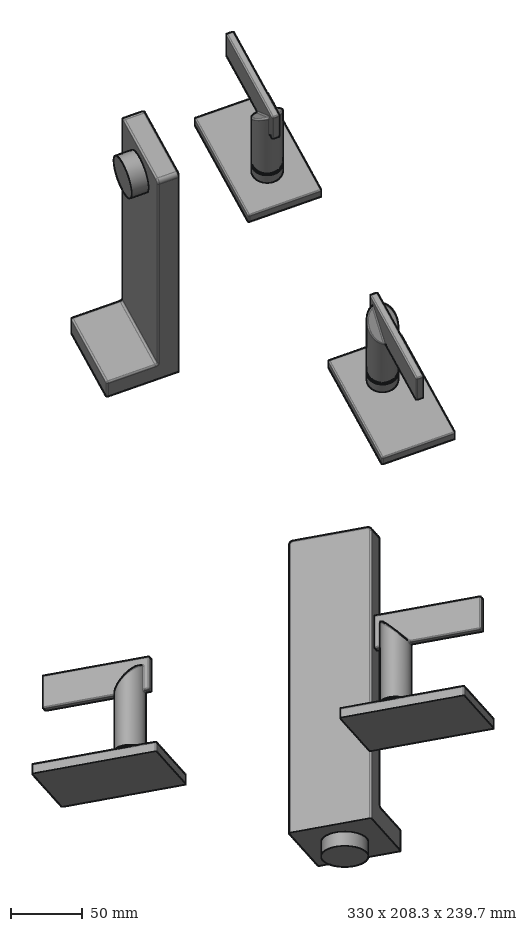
import cadquery as cq

TOLERANCE = 0.03

handle_fillet = 1.0
plate_inner_x = 69.0
plate_outer_x = 162.7
plate_depth = 56.0
plate_height = 8.0
lever_inner_x = 84.5
lever_outer_x = 165.0
lever_thickness = 6.0
lever_bottom = 63.5
lever_top = 89.0
post_x = 100.0
post_radius = 11.2
post_rim_low = lever_bottom
post_rim_high = 84.5
groove_z = 17.5
groove_width = 1.5
groove_depth = 0.5
rim_fillet = 1.0
joint_fillet = 1.0

spout_width = 62.5
spout_depth = 55.8
spout_height = 228.5
spout_thickness = 16.8
spout_back_y = -124.5
column_front_y = spout_back_y - spout_thickness
foot_front_y = spout_back_y - spout_depth
top_corner_fillet = 3.3
inner_corner_fillet = 1.5
front_fillet = 1.3
back_fillet = 1.3
knob_diameter = 31.7
knob_length = 13.0
knob_z = 203.0
shank_diameter = 33.0
shank_length = 11.2


def make_plate():
    return (
        cq.Workplane("XY")
        .box(plate_outer_x - plate_inner_x, plate_depth, plate_height, centered=(False, True, False))
        .translate((plate_inner_x, 0, 0))
        .edges("|Z or >Z")
        .fillet(handle_fillet)
    )


def make_post():
    """Round post with a rounded, sloped top and a shallow groove near its foot."""
    inner_x = post_x - post_radius
    outer_x = post_x + post_radius
    sloped_block = (
        cq.Workplane("XZ")
        .polyline([
            (inner_x, plate_height),
            (outer_x, plate_height),
            (outer_x, post_rim_low),
            (inner_x, post_rim_high),
        ])
        .close()
        .extrude(post_radius, both=True)
    )
    post = (
        cq.Workplane("XY", origin=(post_x, 0, plate_height))
        .circle(post_radius)
        .extrude(post_rim_high - plate_height)
        .intersect(sloped_block)
    )
    groove = (
        cq.Workplane("XY", origin=(post_x, 0, groove_z - groove_width / 2))
        .circle(post_radius)
        .circle(post_radius - groove_depth)
        .extrude(groove_width)
    )
    return post.edges("%ELLIPSE").fillet(rim_fillet).cut(groove)


def make_lever():
    lever_length = lever_outer_x - lever_inner_x
    return (
        cq.Workplane("XY")
        .box(lever_length, lever_thickness, lever_top - lever_bottom, centered=(False, True, False))
        .translate((lever_inner_x, 0, lever_bottom))
        .edges()
        .fillet(handle_fillet)
    )


def is_joint_edge(edge):
    """True for the straight edges where the post meets the two flat sides of the lever."""
    center = edge.Center()
    return (
        edge.geomType() == "LINE"
        and abs(abs(center.y) - lever_thickness / 2) < TOLERANCE
        and abs(center.x - post_x) < post_radius
        and lever_bottom + handle_fillet < center.z < post_rim_high
    )


def make_handle(side):
    """One handle as a single solid: side is +1 for the right handle and -1 for the left one."""
    handle = make_plate().union(make_post()).union(make_lever())
    handle = handle.edges().filter(is_joint_edge).fillet(joint_fillet)
    if side < 0:
        handle = handle.mirror("YZ")
    return handle.solids()


def is_front_edge(edge):
    """True for the front edges of the column and the foot, all but the hollow corner and the bottom."""
    center = edge.Center()
    bounds_hollow_corner = (
        abs(center.x) < TOLERANCE
        and abs(center.y - column_front_y) < inner_corner_fillet + TOLERANCE
        and abs(center.z - spout_thickness) < inner_corner_fillet + TOLERANCE
    )
    is_front = center.y < column_front_y + TOLERANCE and center.z > TOLERANCE
    return is_front and not bounds_hollow_corner


def make_spout_body():
    """L-shaped column and foot with rounded edges."""
    body = (
        cq.Workplane("YZ")
        .polyline([
            (spout_back_y, 0),
            (foot_front_y, 0),
            (foot_front_y, spout_thickness),
            (column_front_y, spout_thickness),
            (column_front_y, spout_height),
            (spout_back_y, spout_height),
        ])
        .close()
        .extrude(spout_width / 2, both=True)
    )
    hollow_corner = cq.selectors.NearestToPointSelector((0, column_front_y, spout_thickness))
    body = body.edges(hollow_corner).fillet(inner_corner_fillet)
    body = body.edges("|Y and >Z").fillet(top_corner_fillet)
    body = body.edges().filter(is_front_edge).fillet(front_fillet)
    return body.faces(">Y").edges("not <Z").fillet(back_fillet)


def make_spout():
    knob = (
        cq.Workplane("XZ", origin=(0, column_front_y, knob_z))
        .circle(knob_diameter / 2)
        .extrude(knob_length)
    )
    shank = (
        cq.Workplane("XY", origin=(0, spout_back_y - spout_depth / 2, 0))
        .circle(shank_diameter / 2)
        .extrude(-shank_length)
    )
    return make_spout_body().union(knob).union(shank).solids()


spout = make_spout()
handles = [make_handle(side) for side in (-1, 1)]

result = cq.Compound.makeCompound([spout.val(), *[handle.val() for handle in handles]])